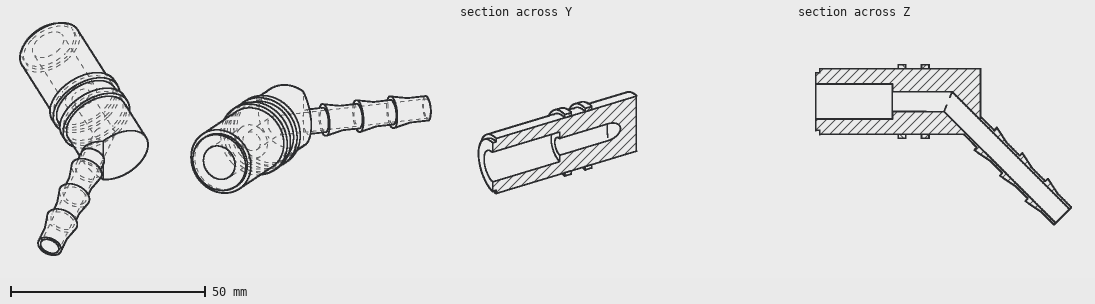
import cadquery as cq
import math

barrel_diameter = 17.0
barrel_end = 42.5
nose_diameter = 14.95
nose_length = 1.05
socket_diameter = 8.95
socket_depth = 19.75

barb_angle = 45.0
elbow_x = 34.1
barb_start = 8.9
tube_diameter = 6.4
cone_diameter = 8.3
bore_diameter = 5.0
barb_length = 32.8
first_cone_start = 4.7
cone_length = 4.6
cone_pitch = 9.3
cone_count = 3
barb_end = barb_start + barb_length

ring_diameter = 19.0
ring_width = 2.0
first_ring_x = 21.3
ring_pitch = 6.0
ring_count = 2

barb_direction = cq.Vector(
    math.cos(math.radians(barb_angle)), -math.sin(math.radians(barb_angle)), 0
)
elbow = cq.Vector(elbow_x, 0, 0)
seat_plane = cq.Plane(
    origin=elbow + barb_direction * barb_start, xDir=(0, 0, 1), normal=barb_direction
)


def make_barrel():
    """Stepped cylinder with its far corner cut off square to the barb axis."""
    nose = cq.Workplane("YZ").circle(nose_diameter / 2).extrude(nose_length)
    barrel = (
        cq.Workplane("YZ", origin=(nose_length, 0, 0))
        .circle(barrel_diameter / 2)
        .extrude(barrel_end - nose_length)
    )
    corner = (
        cq.Workplane(seat_plane)
        .rect(2 * barrel_diameter, 2 * barrel_diameter)
        .extrude(barrel_diameter)
    )
    return nose.union(barrel).cut(corner)


def make_hose_barb():
    """Plain tube with cones that are widest on the side facing the barrel."""
    barb = cq.Workplane(seat_plane).circle(tube_diameter / 2).extrude(barb_length)
    cone_shape = cq.Solid.makeCone(
        cone_diameter / 2,
        tube_diameter / 2,
        cone_length,
        pnt=seat_plane.origin,
        dir=barb_direction,
    )
    for index in range(cone_count):
        offset = barb_direction * (first_cone_start + index * cone_pitch)
        barb = barb.union(cq.Workplane(cone_shape.translate(offset)))
    return barb


def make_bore():
    """Wide socket at the nose, then a narrow bore that turns at a mitred elbow."""
    socket = cq.Workplane("YZ").circle(socket_diameter / 2).extrude(socket_depth)
    outlet = elbow + barb_direction * barb_end
    path = cq.Workplane("XY").lineTo(elbow.x, elbow.y).lineTo(outlet.x, outlet.y)
    passage = cq.Workplane("YZ").circle(bore_diameter / 2).sweep(path, transition="right")
    return socket.union(passage)


def make_fitting():
    return make_barrel().union(make_hose_barb()).cut(make_bore())


def make_ring(start_x):
    """Flat ring that sits on the barrel surface."""
    return (
        cq.Workplane("YZ", origin=(start_x, 0, 0))
        .circle(ring_diameter / 2)
        .circle(barrel_diameter / 2)
        .extrude(ring_width)
    )


fitting = make_fitting()
rings = [make_ring(first_ring_x + index * ring_pitch) for index in range(ring_count)]

result = cq.Compound.makeCompound([fitting.solids().val(), *[ring.val() for ring in rings]])